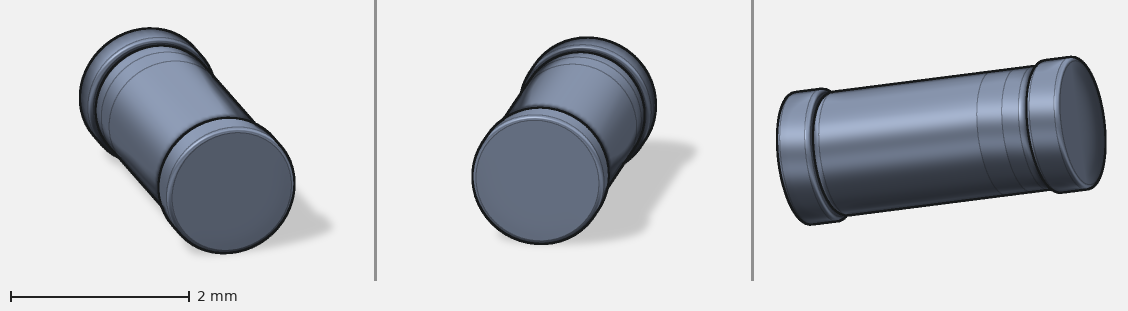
import cadquery as cq

overall_length = 3.4
cap_diameter = 1.5
cap_length = 0.4
cap_edge_radius = 0.05
glass_diameter = 1.4
glass_edge_radius = 0.1
band_offset = 0.3
band_width = 0.3

body_start = -overall_length / 2
glass_start = body_start + cap_length
glass_end = -glass_start
band_start = glass_start + band_offset
band_end = band_start + band_width


def rod(start, end, diameter):
    """Solid cylinder from x = start to x = end."""
    base = cq.Workplane("YZ", origin=(start, 0, 0))
    return base.circle(diameter / 2).extrude(end - start)


def end_cap(start):
    """Metal cap with both rims rounded."""
    cap = rod(start, start + cap_length, cap_diameter)
    return cap.edges("%CIRCLE").fillet(cap_edge_radius)


def glass_body():
    """Glass cylinder with rounded ends, its surface divided at the flush polarity band."""
    before_band = rod(glass_start, band_start, glass_diameter)
    before_band = before_band.faces("<X").edges().fillet(glass_edge_radius)
    band = rod(band_start, band_end, glass_diameter)
    after_band = rod(band_end, glass_end, glass_diameter)
    after_band = after_band.faces(">X").edges().fillet(glass_edge_radius)
    return before_band.union(band, clean=False).union(after_band, clean=False)


result = glass_body()
for cap_start in (body_start, glass_end):
    result = result.union(end_cap(cap_start), clean=False)